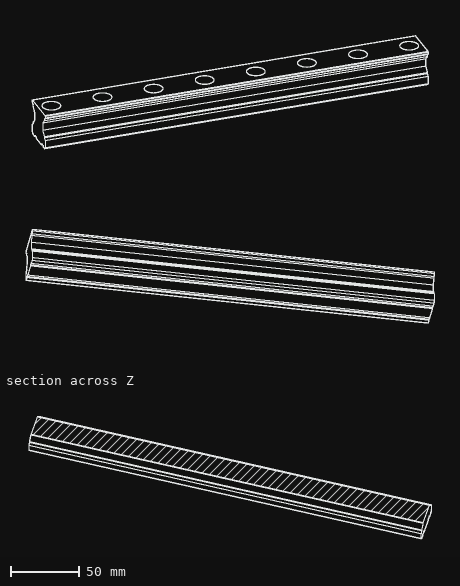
import cadquery as cq

LENGTH = 300.0
WIDTH = 28.0
HEIGHT = 28.0

TOP_CHAMFER = 0.45
LIP_BOTTOM = 26.0
LIP_TAPER_BOTTOM = 24.5
HEAD_FLAT_BOTTOM = 23.0

SHOULDER_HALF_WIDTH = 12.3
FLANK_DEPTH = 3.5
WAIST_HALF_WIDTH = SHOULDER_HALF_WIDTH - FLANK_DEPTH
WAIST_TOP = HEAD_FLAT_BOTTOM - FLANK_DEPTH
WAIST_BOTTOM = 13.5

FOOT_FLAT_TOP = WAIST_BOTTOM - FLANK_DEPTH
FOOT_TAPER_TOP = 9.0
FOOT_SIDE_TOP = 7.5
BOTTOM_CHAMFER = 1.5

GROOVE_OFFSET = 7.2
GROOVE_WIDTH = 3.0
GROOVE_DEPTH = 1.0

CAP_DIAMETER = 13.8
CAP_DEPTH = 0.15
CAP_COUNT = 8
CAP_END_OFFSET = 10.0
CAP_PITCH = (LENGTH - 2 * CAP_END_OFFSET) / (CAP_COUNT - 1)


def make_rail_body():
    """Extrude the mirrored cross-section along the full length."""
    half_width = WIDTH / 2
    right_side = [
        (half_width - BOTTOM_CHAMFER, 0),
        (half_width, BOTTOM_CHAMFER),
        (half_width, FOOT_SIDE_TOP),
        (SHOULDER_HALF_WIDTH, FOOT_TAPER_TOP),
        (SHOULDER_HALF_WIDTH, FOOT_FLAT_TOP),
        (WAIST_HALF_WIDTH, WAIST_BOTTOM),
        (WAIST_HALF_WIDTH, WAIST_TOP),
        (SHOULDER_HALF_WIDTH, HEAD_FLAT_BOTTOM),
        (SHOULDER_HALF_WIDTH, LIP_TAPER_BOTTOM),
        (half_width, LIP_BOTTOM),
        (half_width, HEIGHT - TOP_CHAMFER),
        (half_width - TOP_CHAMFER, HEIGHT),
    ]
    left_side = [(-x, z) for x, z in reversed(right_side)]
    profile = cq.Workplane("XZ").polyline(right_side + left_side).close()
    return profile.extrude(LENGTH / 2, both=True)


def make_bottom_grooves():
    """Two rectangular grooves that run the full length of the underside."""
    centers = [(-GROOVE_OFFSET, 0), (GROOVE_OFFSET, 0)]
    return (
        cq.Workplane("XY")
        .pushPoints(centers)
        .rect(GROOVE_WIDTH, LENGTH)
        .extrude(GROOVE_DEPTH)
    )


def make_cap_seats():
    """A centered row of evenly spaced round recesses in the top face."""
    return (
        cq.Workplane("XY", origin=(0, 0, HEIGHT))
        .rarray(3, CAP_PITCH, 1, CAP_COUNT)
        .circle(CAP_DIAMETER / 2)
        .extrude(-CAP_DEPTH)
    )


result = make_rail_body().cut(make_bottom_grooves()).cut(make_cap_seats())